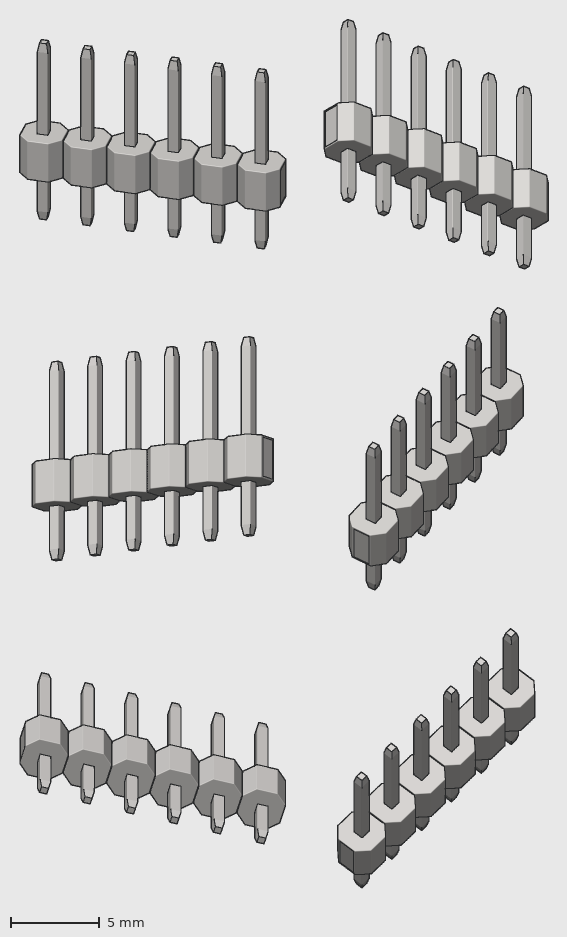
import cadquery as cq
UNIT_COUNT = 6
TOTAL_LENGTH = 15.24
PITCH = TOTAL_LENGTH / UNIT_COUNT

BLOCK_DEPTH = 2.55
BLOCK_HEIGHT = 2.48
TAB_LENGTH = 0.02
BLOCK_WIDTH = PITCH - 2 * TAB_LENGTH
CORNER_CUT = 0.64
BLOCK_FILLET = 0.05

TAB_EDGE_INSET = 0.12
TAB_DEPTH = BLOCK_DEPTH - 2 * (CORNER_CUT + TAB_EDGE_INSET)
TAB_HEIGHT = BLOCK_HEIGHT - 2 * TAB_EDGE_INSET
TAB_FILLET = 0.018

PIN_SIZE = 0.62
PIN_LENGTH = 11.38
PIN_BELOW_BLOCK = 3.06
PIN_FILLET = 0.02
TIP_SIZE = 0.41
TIP_LENGTH = 0.55
SHAFT_LENGTH = PIN_LENGTH - 2 * TIP_LENGTH
SHAFT_BOTTOM = TIP_LENGTH - PIN_BELOW_BLOCK
SHAFT_TOP = SHAFT_BOTTOM + SHAFT_LENGTH


def make_block():
    """Octagonal prism with every edge slightly rounded."""
    octagon = (
        cq.Workplane("XY")
        .rect(BLOCK_WIDTH, BLOCK_DEPTH)
        .extrude(BLOCK_HEIGHT)
        .edges("|Z")
        .chamfer(CORNER_CUT)
    )
    return octagon.edges().fillet(BLOCK_FILLET)


def make_tabs():
    """One bar through the block whose two rounded ends stand out as the side tabs."""
    bar = cq.Workplane("XY", origin=(0, 0, BLOCK_HEIGHT / 2)).box(PITCH, TAB_DEPTH, TAB_HEIGHT)
    return bar.faces("<X or >X").edges().fillet(TAB_FILLET)


def make_tip(base_z, direction):
    """Tapered pin end, narrowing from base_z upward (direction 1) or downward (direction -1)."""
    return (
        cq.Workplane("XY", origin=(0, 0, base_z))
        .rect(PIN_SIZE, PIN_SIZE)
        .workplane(offset=direction * TIP_LENGTH)
        .rect(TIP_SIZE, TIP_SIZE)
        .loft(ruled=True)
    )


def make_pin():
    """Square shaft with slightly rounded long edges and a tapered tip at each end."""
    shaft = cq.Workplane("XY", origin=(0, 0, SHAFT_BOTTOM)).rect(PIN_SIZE, PIN_SIZE).extrude(SHAFT_LENGTH)
    pin = shaft.union(make_tip(SHAFT_BOTTOM, -1)).union(make_tip(SHAFT_TOP, 1))
    return pin.edges("|Z").fillet(PIN_FILLET)


def make_header_unit(center_x):
    """One pin position: block, side tabs and pin in a single solid."""
    unit = make_block().union(make_tabs()).union(make_pin())
    return unit.translate((center_x, 0, 0))


first_unit_x = -(UNIT_COUNT - 1) * PITCH / 2
header_units = []
for index in range(UNIT_COUNT):
    header_unit = make_header_unit(first_unit_x + index * PITCH)
    header_units.append(header_unit.val())

result = cq.Compound.makeCompound(header_units)